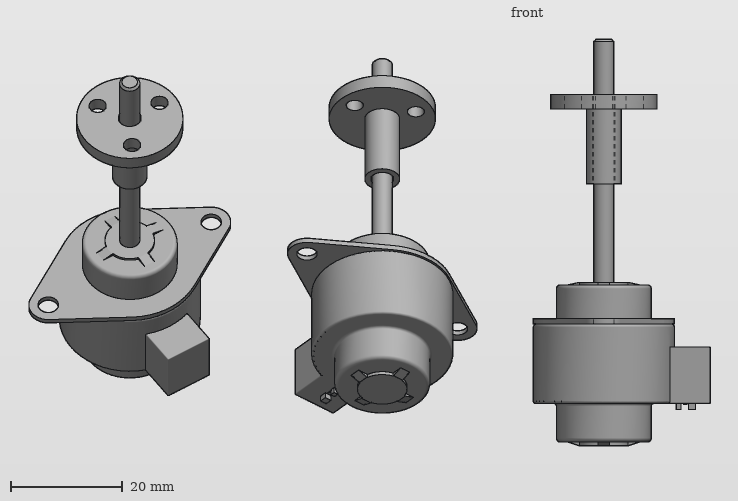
import cadquery as cq
import math


OVERALL_LENGTH_X = 31.7
OVERALL_WIDTH_Y = 42.0
TOTAL_HEIGHT = 72.7

CAN_RADIUS = 12.65
CAN_BOTTOM = 7.55
CAN_TOP = 21.8
CAN_TOP_FILLET = 0.65
CAN_BOTTOM_FILLET = 0.4

BOSS_RADIUS = 8.5
BOSS_BOTTOM = 0.65
BOSS_TOP = 28.8
BOSS_FILLET = 0.7
BOSS_ROOT_FILLET = 0.5

CAP_RADIUS = 4.4
TOP_CAP_HEIGHT = 0.4
BOTTOM_CAP_HEIGHT = BOSS_BOTTOM
TAB_REACH = 6.4
TAB_WIDTH = 2.1
TAB_COUNT = 4

PLATE_TOP = 22.75
EAR_RADIUS = 3.5
EAR_DISTANCE = OVERALL_WIDTH_Y / 2 - EAR_RADIUS
EAR_HOLE_DIAMETER = 3.6

CONNECTOR_END = OVERALL_LENGTH_X - CAN_RADIUS
CONNECTOR_WIDTH = 8.95
CONNECTOR_BOTTOM = CAN_BOTTOM
CONNECTOR_TOP = 17.7
CONNECTOR_FILLET = 0.18
PIN_BOTTOM = 6.5
INNER_PIN_X = 13.4
INNER_PIN_WIDTH = 0.9
OUTER_PIN_X = 15.8
OUTER_PIN_WIDTH = 1.3
NUB_X = (INNER_PIN_X + OUTER_PIN_X) / 2
NUB_WIDTH = 0.65
NUB_BOTTOM = 7.35

SHAFT_RADIUS = 1.8
SHAFT_CHAMFER = 0.4

NUT_BOTTOM = 46.8
NUT_FLANGE_BOTTOM = 60.2
NUT_TOP = 62.8
NUT_SLEEVE_RADIUS = 3.1
NUT_FLANGE_RADIUS = 9.5
NUT_BORE_RADIUS = 2.0
NUT_HOLE_DIAMETER = 3.05
NUT_HOLE_CIRCLE_RADIUS = 6.4
NUT_HOLE_COUNT = 3


def cylinder(radius, bottom, top):
    return cq.Workplane("XY").workplane(offset=bottom).circle(radius).extrude(top - bottom)


def make_can():
    """Rounded can with a boss rising from each end; the upper boss passes through the plate."""
    can = cylinder(CAN_RADIUS, CAN_BOTTOM, CAN_TOP)
    can = can.faces(">Z").edges().fillet(CAN_TOP_FILLET)
    can = can.faces("<Z").edges().fillet(CAN_BOTTOM_FILLET)
    lower_boss = cylinder(BOSS_RADIUS, BOSS_BOTTOM, CAN_BOTTOM)
    lower_boss = lower_boss.faces("<Z").edges().fillet(BOSS_FILLET)
    root = (
        cq.Workplane("XZ")
        .moveTo(0, CAN_BOTTOM)
        .lineTo(BOSS_RADIUS + BOSS_ROOT_FILLET, CAN_BOTTOM)
        .radiusArc((BOSS_RADIUS, CAN_BOTTOM - BOSS_ROOT_FILLET), -BOSS_ROOT_FILLET)
        .lineTo(0, CAN_BOTTOM - BOSS_ROOT_FILLET)
        .close()
        .revolve(360, (0, 0, 0), (0, 1, 0))
    )
    upper_boss = cylinder(BOSS_RADIUS, CAN_TOP, BOSS_TOP)
    upper_boss = upper_boss.faces(">Z").edges().fillet(BOSS_FILLET)
    return can.union(lower_boss).union(root).union(upper_boss)


def make_cap(height):
    """Disc standing on Z = 0 with tabs that slope from its rim down to Z = 0."""
    cap = cylinder(CAP_RADIUS, 0, height)
    tab = (
        cq.Workplane("XZ")
        .polyline([(0, 0), (TAB_REACH, 0), (CAP_RADIUS, height), (0, height)])
        .close()
        .extrude(TAB_WIDTH / 2, both=True)
    )
    for i in range(TAB_COUNT):
        cap = cap.union(tab.rotate((0, 0, 0), (0, 0, 1), i * 360 / TAB_COUNT))
    return cap


def make_plate():
    """Diamond plate: a central disc joined to two ears by tangent lines."""
    sine = (CAN_RADIUS - EAR_RADIUS) / EAR_DISTANCE
    cosine = math.sqrt(1 - sine**2)
    disc_x = CAN_RADIUS * cosine
    disc_y = CAN_RADIUS * sine
    ear_x = EAR_RADIUS * cosine
    ear_y = EAR_DISTANCE + EAR_RADIUS * sine
    ear_tip = EAR_DISTANCE + EAR_RADIUS
    return (
        cq.Workplane("XY")
        .workplane(offset=CAN_TOP)
        .moveTo(disc_x, -disc_y)
        .threePointArc((CAN_RADIUS, 0), (disc_x, disc_y))
        .lineTo(ear_x, ear_y)
        .threePointArc((0, ear_tip), (-ear_x, ear_y))
        .lineTo(-disc_x, disc_y)
        .threePointArc((-CAN_RADIUS, 0), (-disc_x, -disc_y))
        .lineTo(-ear_x, -ear_y)
        .threePointArc((0, -ear_tip), (ear_x, -ear_y))
        .close()
        .pushPoints([(0, EAR_DISTANCE), (0, -EAR_DISTANCE)])
        .circle(EAR_HOLE_DIAMETER / 2)
        .extrude(PLATE_TOP - CAN_TOP)
    )


def make_connector():
    """Block on the +X side of the can with two square pins and a small nub underneath."""
    connector = (
        cq.Workplane("XY")
        .workplane(offset=CONNECTOR_BOTTOM)
        .rect(CONNECTOR_END, CONNECTOR_WIDTH)
        .extrude(CONNECTOR_TOP - CONNECTOR_BOTTOM)
        .translate((CONNECTOR_END / 2, 0, 0))
        .edges("|X or >X")
        .fillet(CONNECTOR_FILLET)
    )
    stubs = (
        (INNER_PIN_X, INNER_PIN_WIDTH, PIN_BOTTOM),
        (NUB_X, NUB_WIDTH, NUB_BOTTOM),
        (OUTER_PIN_X, OUTER_PIN_WIDTH, PIN_BOTTOM),
    )
    for x, width, bottom in stubs:
        stub = (
            cq.Workplane("XY")
            .workplane(offset=bottom)
            .center(x, 0)
            .rect(width, width)
            .extrude(CONNECTOR_BOTTOM - bottom)
        )
        connector = connector.union(stub)
    return connector


def make_motor():
    top_cap = make_cap(TOP_CAP_HEIGHT).translate((0, 0, BOSS_TOP))
    bottom_cap = make_cap(BOTTOM_CAP_HEIGHT).rotate((0, 0, 0), (1, 0, 0), 180).translate((0, 0, BOSS_BOTTOM))
    shaft = cylinder(SHAFT_RADIUS, BOSS_TOP, TOTAL_HEIGHT)
    shaft = shaft.faces(">Z").edges().chamfer(SHAFT_CHAMFER)
    motor = make_can()
    for piece in (make_plate(), make_connector(), top_cap, bottom_cap, shaft):
        motor = motor.union(piece)
    return motor


def make_nut():
    """Sleeve with a drilled flange on top and a clearance bore around the shaft."""
    sleeve = cylinder(NUT_SLEEVE_RADIUS, NUT_BOTTOM, NUT_FLANGE_BOTTOM)
    flange = cylinder(NUT_FLANGE_RADIUS, NUT_FLANGE_BOTTOM, NUT_TOP)
    bore = cylinder(NUT_BORE_RADIUS, NUT_BOTTOM, NUT_TOP)
    holes = (
        cq.Workplane("XY")
        .workplane(offset=NUT_FLANGE_BOTTOM)
        .polarArray(NUT_HOLE_CIRCLE_RADIUS, 90, 360, NUT_HOLE_COUNT)
        .circle(NUT_HOLE_DIAMETER / 2)
        .extrude(NUT_TOP - NUT_FLANGE_BOTTOM)
    )
    return sleeve.union(flange).cut(bore).cut(holes)


motor = make_motor()
nut = make_nut()
result = cq.Compound.makeCompound([motor.val(), nut.val()])